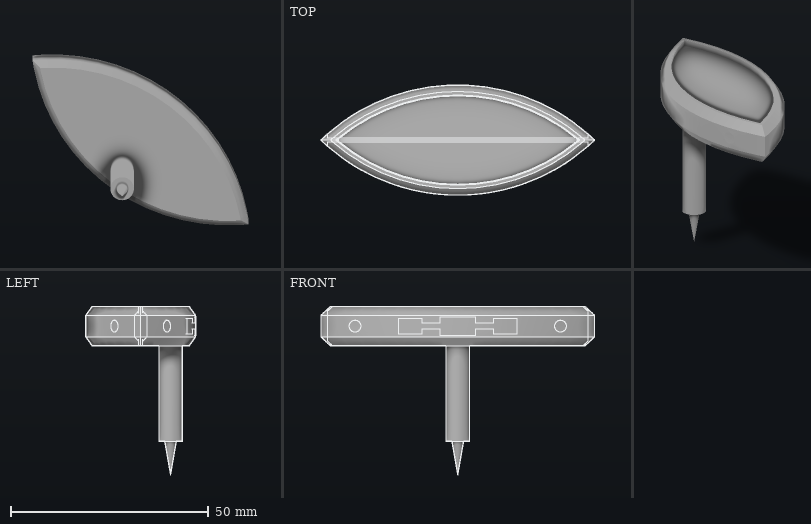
import cadquery as cq

head_length = 69.4
head_width = 28.0
head_height = 10.0
half_length = head_length / 2
half_width = head_width / 2
mid_z = -head_height / 2
arc_radius = (half_length**2 + half_width**2) / (2 * half_width)
arc_center_y = arc_radius - half_width

bevel_inset = 1.7
bevel_height = 2.3

ledge_inset = 2.6
pocket_inset = 2.8
ledge_depth = 0.1
pocket_depth = 1.5

plate_thickness = 0.5
tip_start_x = 32.95
peg_diameter = 3.0
peg_x = 26.0
key_bar_height = 1.45
key_center_half_length = 4.5
key_center_height = 4.65
key_end_inner_x = 9.1
key_end_outer_x = 15.0
key_end_height = 3.95

stylus_y = -7.55
shaft_diameter = 6.0
point_diameter = 3.0
shaft_end_z = -34.2
point_end_z = -42.7

FRONT = -1
BACK = 1


def centered_box(x_min, x_max, y_min, y_max, height):
    """Box between the given X and Y limits, centred on the middle height of the head."""
    return cq.Workplane("XY").box(x_max - x_min, y_max - y_min, height).translate(
        ((x_min + x_max) / 2, (y_min + y_max) / 2, mid_z)
    )


def beveled_disc(side):
    """Disc whose rim is the arc on the given side of the head, bevelled top and bottom."""
    profile = [
        (0, 0),
        (arc_radius - bevel_inset, 0),
        (arc_radius, -bevel_height),
        (arc_radius, bevel_height - head_height),
        (arc_radius - bevel_inset, -head_height),
        (0, -head_height),
    ]
    disc = cq.Workplane("XZ").polyline(profile).close().revolve(360, (0, 0), (0, 1))
    return disc.translate((0, -side * arc_center_y, 0))


def lens_recess(inset, depth):
    """Lens offset inward from the head outline and sunk from the top face."""
    front_disc, back_disc = [
        cq.Workplane("XY").center(0, -side * arc_center_y).circle(arc_radius - inset).extrude(-depth)
        for side in (FRONT, BACK)
    ]
    return front_disc.intersect(back_disc)


def make_head():
    head = beveled_disc(FRONT).intersect(beveled_disc(BACK))
    head = head.cut(lens_recess(ledge_inset, ledge_depth))
    return head.cut(lens_recess(pocket_inset, pocket_depth))


def make_half(head, side):
    """The part of the head on one side of the seam."""
    y_min, y_max = sorted((0, side * head_width))
    return head.intersect(centered_box(-half_length, half_length, y_min, y_max, head_height))


def shell_zone(side):
    """Space of one outer shell: outside the plate and between the tips."""
    y_min, y_max = sorted((side * plate_thickness, side * head_width))
    return centered_box(-tip_start_x, tip_start_x, y_min, y_max, head_height)


def make_pegs(side):
    """Round pegs from the seam outward through the shell."""
    return (
        cq.Workplane("XZ")
        .pushPoints([(-peg_x, mid_z), (peg_x, mid_z)])
        .circle(peg_diameter / 2)
        .extrude(-side * head_width)
    )


def make_key():
    """Three blocks joined by a narrow bar, from the seam out to the front."""
    blocks = [
        (-key_center_half_length, key_center_half_length, key_center_height),
        (-key_end_outer_x, -key_end_inner_x, key_end_height),
        (key_end_inner_x, key_end_outer_x, key_end_height),
    ]
    key = centered_box(-key_end_outer_x, key_end_outer_x, -head_width, 0, key_bar_height)
    for x_min, x_max, height in blocks:
        key = key.union(centered_box(x_min, x_max, -head_width, 0, height))
    return key


def make_shell(half, side):
    shell = half.intersect(shell_zone(side)).cut(make_pegs(side))
    if side == FRONT:
        shell = shell.cut(make_key())
    return shell


def make_stylus():
    """Cylindrical shaft ending in a slim conical point."""
    profile = [
        (0, -head_height),
        (shaft_diameter / 2, -head_height),
        (shaft_diameter / 2, shaft_end_z),
        (point_diameter / 2, shaft_end_z),
        (0, point_end_z),
    ]
    stylus = cq.Workplane("XZ").polyline(profile).close().revolve(360, (0, 0), (0, 1))
    return stylus.translate((0, stylus_y, 0))


head = make_head()
shells = []
cores = []
for side in (FRONT, BACK):
    half = make_half(head, side)
    shell = make_shell(half, side)
    shells.append(shell.solids().val())
    cores.append(half.cut(shell).solids().val())
stylus = make_stylus()

result = cq.Compound.makeCompound([*shells, *cores, stylus.val()])